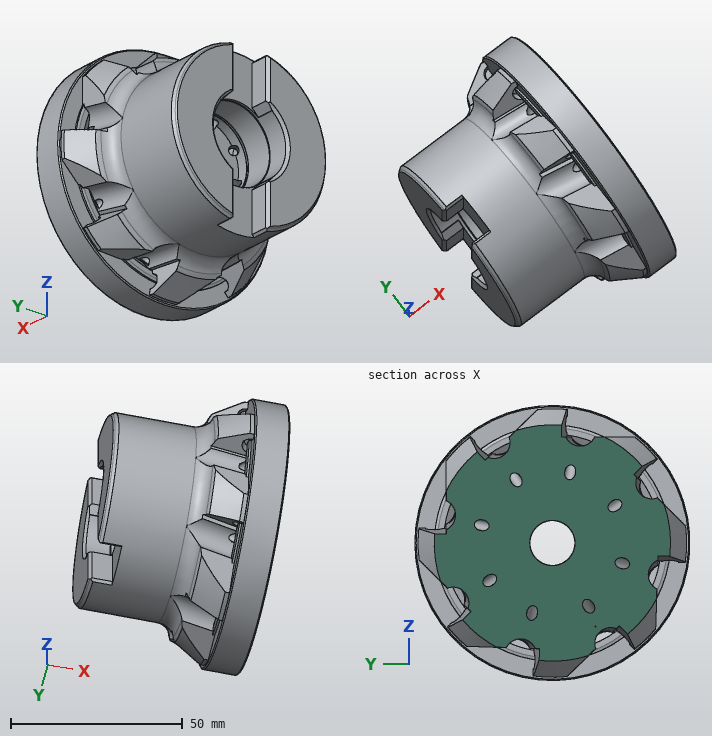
import cadquery as cq
import math

length = 50.0
flange_radius = 40.0
flange_face_x = 39.7
flange_chamfer = 0.4

shank_radius = 58.0 / 2
shank_end_x = 24.5
shank_face_radius = 27.9
shank_break_x = 0.5
shank_break_radius = 28.3
shank_edge_length = 1.4
flare_radius = 4.9
flare_sweep = math.radians(75)
cone_start_x = 29.9
cone_start_radius = 34.1
cone_end_x = 38.4
tooth_tip_radius = 39.0

bore_mouth_radius = 14.6
bore_mouth_chamfer = 0.9
bore_front_radius = 27.3 / 2
bore_front_end_x = 8.0
bore_step_length = 0.2
bore_radius = 27.0 / 2
relief_start_x = 17.9
relief_end_x = 18.7
bore_end_radius = 27.1 / 2
bore_bottom_x = 22.4
through_radius = 13.0 / 2
through_mouth_radius = 14.8 / 2

slot_width = 12.2
slot_depth = 7.1
slot_edge_chamfer = 0.95

pocket_angles = (0, 45, 92, 136, 182, 225, 270, 316)
pocket_floor = 30.9
face_offset = 4.15
face_offset_x = 38.6
face_tilt = math.tan(math.radians(10))
flute_radius = 4.5
flute_offset = 9.5
flute_axis_height = 32.7
pocket_start_x = shank_end_x
recess_radius = 2.4
recess_depth = 3.2
recess_x = 39.35
recess_height = 34.5

ring_outer_radius = 34.3
ring_edge_x = 39.0
ring_top_radius = 33.4
ring_inner_radius = 31.7
ring_top_x = 38.8
undercut_radius = 28.0
undercut_x = 41.35

coolant_radius = 3.0 / 2
coolant_start_radius = 13.4
coolant_start_angle = 15.8
coolant_end_x = 39.6
coolant_end_radius = 29.8
coolant_end_angle = 13.3


def revolve_about_x(profile):
    """Full turn about X of a closed (x, radius) outline."""
    return profile.close().revolve(360, (0, 0, 0), (1, 0, 0))


def outer_body():
    flare_mid_x = shank_end_x + flare_radius * math.sin(flare_sweep / 2)
    flare_mid_radius = shank_radius + flare_radius * (1 - math.cos(flare_sweep / 2))
    flare_end_x = shank_end_x + flare_radius * math.sin(flare_sweep)
    flare_end_radius = shank_radius + flare_radius * (1 - math.cos(flare_sweep))
    return revolve_about_x(
        cq.Workplane("XY")
        .moveTo(0, 0)
        .lineTo(0, shank_radius)
        .lineTo(shank_end_x, shank_radius)
        .threePointArc((flare_mid_x, flare_mid_radius), (flare_end_x, flare_end_radius))
        .tangentArcPoint((cone_start_x, cone_start_radius), relative=False)
        .lineTo(cone_end_x, tooth_tip_radius)
        .lineTo(flange_face_x, tooth_tip_radius)
        .lineTo(flange_face_x, flange_radius - flange_chamfer)
        .lineTo(flange_face_x + flange_chamfer, flange_radius)
        .lineTo(length - flange_chamfer, flange_radius)
        .lineTo(length, flange_radius - flange_chamfer)
        .lineTo(length, 0)
    )


def stepped_bore():
    """Mouth chamfer, steps of the bore and the chamfered through hole."""
    through_chamfer = through_mouth_radius - through_radius
    return revolve_about_x(
        cq.Workplane("XY")
        .moveTo(0, 0)
        .lineTo(0, bore_mouth_radius)
        .lineTo(bore_mouth_chamfer, bore_front_radius)
        .lineTo(bore_front_end_x, bore_front_radius)
        .lineTo(bore_front_end_x + bore_step_length, bore_radius)
        .lineTo(relief_start_x, bore_radius)
        .lineTo(relief_start_x, bore_front_radius)
        .lineTo(relief_end_x, bore_front_radius)
        .lineTo(relief_end_x, bore_end_radius)
        .lineTo(bore_bottom_x, bore_end_radius)
        .lineTo(bore_bottom_x, through_mouth_radius)
        .lineTo(bore_bottom_x + through_chamfer, through_radius)
        .lineTo(length, through_radius)
        .lineTo(length, 0)
    )


def flange_keep():
    """Flange with its raised ring: the stock that the pockets must not cut."""
    return revolve_about_x(
        cq.Workplane("XY")
        .moveTo(length, 0)
        .lineTo(length, 2 * flange_radius)
        .lineTo(flange_face_x, 2 * flange_radius)
        .lineTo(flange_face_x, ring_outer_radius)
        .lineTo(ring_edge_x, ring_outer_radius)
        .lineTo(ring_top_x, ring_top_radius)
        .lineTo(ring_top_x, ring_inner_radius)
        .lineTo(undercut_x, undercut_radius)
        .lineTo(undercut_x, 0)
    )


def pocket_cutter():
    """Pocket at angle zero: tilted tooth face, flat floor, flute and face recess."""

    def drift(x):
        return (x - face_offset_x) * face_tilt

    face_start = face_offset + drift(pocket_start_x)
    face_end = face_offset + drift(length)
    corner = (
        cq.Workplane("XY", origin=(0, 0, pocket_floor))
        .moveTo(pocket_start_x, -face_start)
        .lineTo(length, -face_end)
        .lineTo(length, -flange_radius)
        .lineTo(pocket_start_x, -flange_radius)
        .close()
        .extrude(flange_radius)
    )
    direction = cq.Vector(1, -face_tilt, 0)
    flute_start = cq.Vector(pocket_start_x, -flute_offset - drift(pocket_start_x), flute_axis_height)
    flute = cq.Solid.makeCylinder(flute_radius, length, flute_start, direction)
    inward = cq.Vector(face_tilt, 1, 0)
    recess_start = cq.Vector(recess_x, -face_offset - drift(recess_x), recess_height)
    recess = cq.Solid.makeCylinder(recess_radius, recess_depth, recess_start, inward)
    return corner.union(cq.Workplane(flute)).union(cq.Workplane(recess)).cut(flange_keep())


def polar_point(x, radius, angle):
    turn = math.radians(angle)
    return cq.Vector(x, -radius * math.sin(turn), radius * math.cos(turn))


def coolant_hole():
    start = polar_point(bore_bottom_x, coolant_start_radius, coolant_start_angle)
    end = polar_point(coolant_end_x, coolant_end_radius, coolant_end_angle)
    path = end - start
    overrun = coolant_radius
    origin = start - path.normalized() * overrun
    return cq.Workplane(cq.Solid.makeCylinder(coolant_radius, path.Length + overrun, origin, path))


def drive_slot():
    """Cutter for the slot with its walls chamfered at the front face, the shank and the bore."""
    half = slot_width / 2
    wide = half + slot_edge_chamfer
    shank_corner = math.sqrt(shank_radius**2 - half**2)
    bore_corner = math.sqrt(bore_front_radius**2 - half**2)
    overrun = 1.5 * slot_edge_chamfer
    reach = slot_edge_chamfer + overrun
    right_side = [
        (half + reach, bore_corner - overrun),
        (half, bore_corner + slot_edge_chamfer),
        (half, shank_corner - slot_edge_chamfer),
        (half + reach, shank_corner + overrun),
    ]
    left_side = [(-y, z) for y, z in reversed(right_side)]
    upper = cq.Workplane("YZ").polyline(right_side + left_side).close().extrude(slot_depth)
    lower = upper.rotate((0, 0, 0), (1, 0, 0), 180)
    front_outline = [(0, -wide), (slot_edge_chamfer, -half), (slot_edge_chamfer, half), (0, wide)]
    front = cq.Workplane("XY").polyline(front_outline).close().extrude(shank_radius, both=True)
    return upper.union(lower).union(front)


def shank_edge():
    """Ring removed to chamfer the front edge of the shank in two steps."""
    return revolve_about_x(
        cq.Workplane("XY")
        .moveTo(0, shank_face_radius)
        .lineTo(shank_break_x, shank_break_radius)
        .lineTo(shank_edge_length, shank_radius)
        .lineTo(0, shank_radius)
    )


result = outer_body().cut(stepped_bore()).cut(drive_slot()).cut(shank_edge())
pocket_cutters = (pocket_cutter(), coolant_hole())
for angle in pocket_angles:
    for cutter in pocket_cutters:
        result = result.cut(cutter.rotate((0, 0, 0), (1, 0, 0), angle))